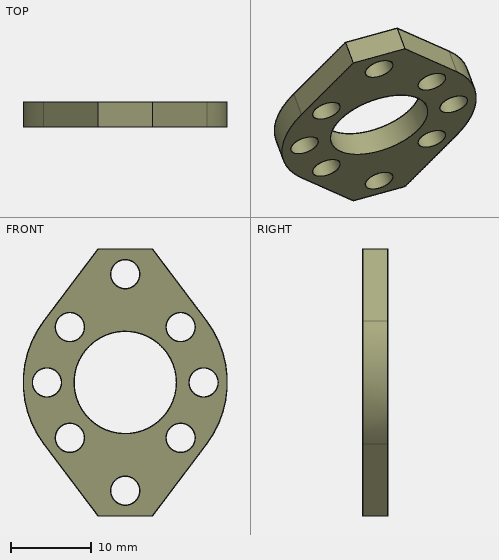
import cadquery as cq
import math

height = 33.27
thickness = 3.15
body_radius = 12.7
flat_width = 6.75
bore_diameter = 12.7
bolt_hole_diameter = 3.6
bolt_circle_radius = 9.75
end_hole_offset = 13.47

corner_x = flat_width / 2
corner_z = height / 2
corner_angle = math.atan2(corner_z, corner_x)
tangent_angle = corner_angle - math.acos(body_radius / math.hypot(corner_x, corner_z))
tangent_x = body_radius * math.cos(tangent_angle)
tangent_z = body_radius * math.sin(tangent_angle)


def make_plate():
    """Round body drawn out to a narrow flat at the top and bottom."""
    return (
        cq.Workplane("XZ")
        .moveTo(-corner_x, corner_z)
        .lineTo(corner_x, corner_z)
        .lineTo(tangent_x, tangent_z)
        .threePointArc((body_radius, 0), (tangent_x, -tangent_z))
        .lineTo(corner_x, -corner_z)
        .lineTo(-corner_x, -corner_z)
        .lineTo(-tangent_x, -tangent_z)
        .threePointArc((-body_radius, 0), (-tangent_x, tangent_z))
        .close()
        .extrude(thickness)
    )


def make_holes(diameter, centers):
    """Cylinders through the full thickness at the given X, Z centers."""
    return (
        cq.Workplane("XZ")
        .pushPoints(centers)
        .circle(diameter / 2)
        .extrude(thickness)
    )


side_angles = [math.radians(angle) for angle in (-45, 0, 45, 135, 180, 225)]
side_centers = [
    (bolt_circle_radius * math.cos(angle), bolt_circle_radius * math.sin(angle))
    for angle in side_angles
]
end_centers = [(0, end_hole_offset), (0, -end_hole_offset)]

result = (
    make_plate()
    .cut(make_holes(bore_diameter, [(0, 0)]))
    .cut(make_holes(bolt_hole_diameter, side_centers + end_centers))
)